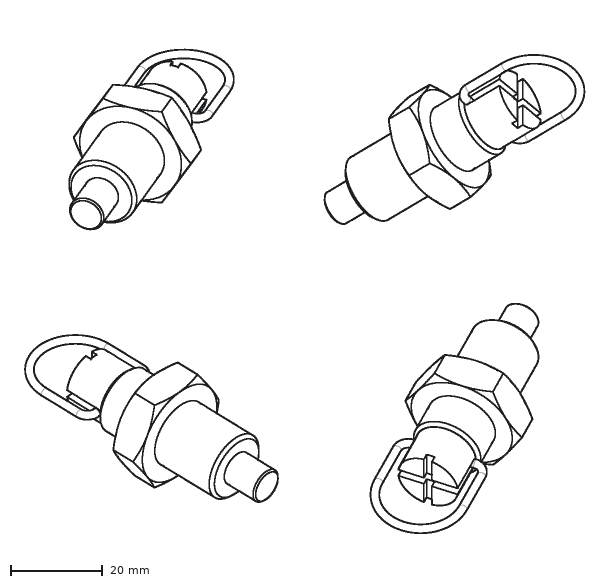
import cadquery as cq
import math


thread_diameter = 16.0
thread_length = 34.0
thread_chamfer = 0.8
neck_diameter = 14.2
neck_end = 44.0
driver_slot_width = 1.9
driver_slot_depth = 1.5

pin_diameter = 8.0
pin_projection = 9.0
pin_insertion = 17.0
pin_chamfer = 0.4

nut_across_flats = 24.0
nut_start = 17.0
nut_thickness = 8.0
nut_chamfer_angle = 30.0

overall_length = 68.0
wire_diameter = 2.0
ring_width = 22.0
bend_radius = 2.65

wire_radius = wire_diameter / 2
leg_x = ring_width / 2 - wire_radius
arch_y = overall_length - pin_projection - ring_width / 2
crossbar_y = thread_length + wire_radius
bend_y = crossbar_y + bend_radius
bend_x = leg_x - bend_radius


def rod(diameter, start_y, end_y):
    """Solid cylinder on the Y axis."""
    plane = cq.Workplane("XZ", origin=(0, start_y, 0))
    return plane.circle(diameter / 2).extrude(start_y - end_y)


def make_sleeve():
    thread = rod(thread_diameter, 0, thread_length).edges("%CIRCLE").chamfer(thread_chamfer)
    sleeve = thread.union(rod(neck_diameter, thread_length, neck_end))
    sleeve = sleeve.cut(rod(pin_diameter, 0, pin_insertion))

    driver_slot = cq.Workplane("XY").box(driver_slot_width, 2 * driver_slot_depth, neck_diameter)
    sleeve = sleeve.cut(driver_slot.translate((0, neck_end, 0)))

    ring_slot = (
        cq.Workplane("YZ")
        .moveTo(neck_end, -wire_radius)
        .lineTo(crossbar_y, -wire_radius)
        .threePointArc((thread_length, 0), (crossbar_y, wire_radius))
        .lineTo(neck_end, wire_radius)
        .close()
        .extrude(neck_diameter / 2, both=True)
    )
    return sleeve.cut(ring_slot)


def make_pin():
    return rod(pin_diameter, -pin_projection, pin_insertion).faces("<Y").chamfer(pin_chamfer)


def make_nut():
    flat_radius = nut_across_flats / 2
    corner_radius = flat_radius / math.cos(math.radians(30))
    chamfer_drop = (corner_radius - flat_radius) * math.tan(math.radians(nut_chamfer_angle))
    nut_end = nut_start + nut_thickness

    hexagon = (
        cq.Workplane("XZ", origin=(0, nut_start, 0))
        .polygon(6, 2 * corner_radius)
        .extrude(-nut_thickness)
    )
    envelope = (
        cq.Workplane("XY")
        .moveTo(0, nut_start)
        .lineTo(flat_radius, nut_start)
        .lineTo(corner_radius, nut_start + chamfer_drop)
        .lineTo(corner_radius, nut_end - chamfer_drop)
        .lineTo(flat_radius, nut_end)
        .lineTo(0, nut_end)
        .close()
        .revolve(360, (0, 0, 0), (0, 1, 0))
    )
    return hexagon.intersect(envelope).cut(rod(thread_diameter, nut_start, nut_end))


def make_pull_ring():
    bend_offset = bend_radius * math.sqrt(0.5)
    path = (
        cq.Workplane("XY")
        .moveTo(0, crossbar_y)
        .lineTo(bend_x, crossbar_y)
        .threePointArc((bend_x + bend_offset, bend_y - bend_offset), (leg_x, bend_y))
        .lineTo(leg_x, arch_y)
        .threePointArc((0, arch_y + leg_x), (-leg_x, arch_y))
        .lineTo(-leg_x, bend_y)
        .threePointArc((-bend_x - bend_offset, bend_y - bend_offset), (-bend_x, crossbar_y))
        .close()
    )
    return cq.Workplane("YZ", origin=(0, crossbar_y, 0)).circle(wire_radius).sweep(path)


sleeve = make_sleeve()
pin = make_pin()
nut = make_nut()
pull_ring = make_pull_ring()

bodies = [sleeve, pin, nut, pull_ring]
result = cq.Compound.makeCompound([body.solids().val() for body in bodies])